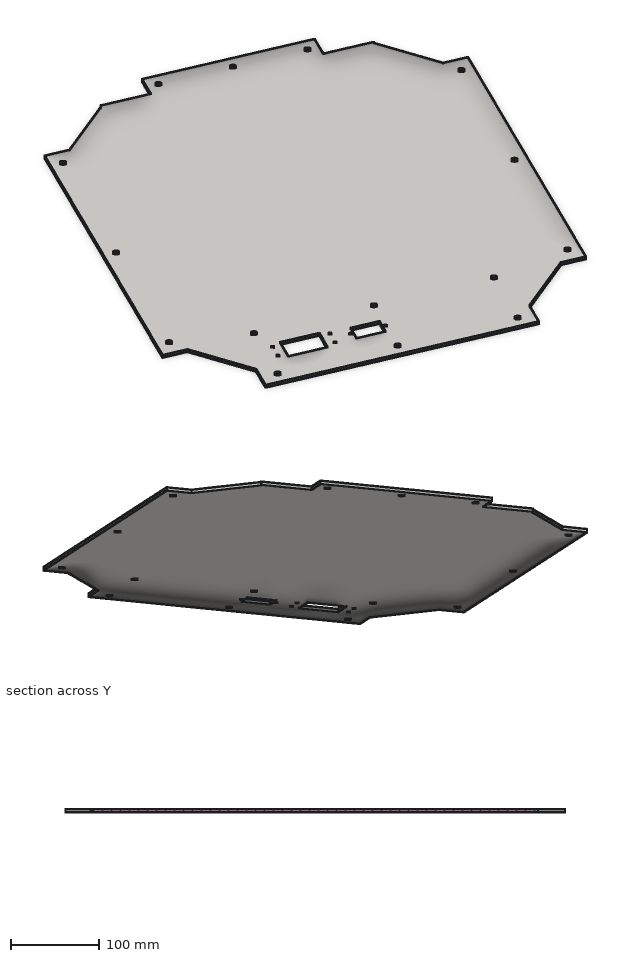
import cadquery as cq

length = 565.0
width = 510.0
thickness = 4.0

end_tab_half_length = 191.5
end_tab_depth = 30.0
corner_cut = 60.5
left_body_x = -254.0
left_tab_half_width = 104.0

mount_hole_diameter = 7.0
edge_hole_spacing_x = 172.5
edge_hole_y = 240.0
side_hole_x = 268.0
left_hole_spacing_y = 90.0
inner_hole_x = 190.5
right_hole_spacing_y = 144.5

screw_hole_diameter = 3.5
opening_x = 229.5
small_opening_y = -21.5
small_opening_size = (20.0, 35.0)
small_screw_offset_y = 21.0
large_opening_y = -99.0
large_opening_size = (27.0, 47.5)
large_screw_offset_x = 8.5
large_screw_offset_y = 34.5


def make_plate():
    tab_base_y = width / 2 - end_tab_depth
    cut_end_x = end_tab_half_length + corner_cut
    cut_end_y = tab_base_y - corner_cut
    upper_outline = [
        (-length / 2, left_tab_half_width),
        (left_body_x, left_tab_half_width),
        (left_body_x, cut_end_y),
        (-cut_end_x, cut_end_y),
        (-end_tab_half_length, tab_base_y),
        (-end_tab_half_length, width / 2),
        (end_tab_half_length, width / 2),
        (end_tab_half_length, tab_base_y),
        (cut_end_x, cut_end_y),
        (length / 2, cut_end_y),
    ]
    lower_outline = [(x, -y) for x, y in reversed(upper_outline)]
    return cq.Workplane("XY").polyline(upper_outline + lower_outline).close().extrude(thickness)


def hole_cutter(points, diameter):
    return cq.Workplane("XY").pushPoints(points).circle(diameter / 2).extrude(thickness)


def opening_cutter(center_y, size):
    return cq.Workplane("XY").center(opening_x, center_y).rect(*size).extrude(thickness)


mount_points = []
for step in (-1, 0, 1):
    for side in (-1, 1):
        mount_points.append((step * edge_hole_spacing_x, side * edge_hole_y))
    mount_points.append((-side_hole_x, step * left_hole_spacing_y))
    for column_x in (inner_hole_x, side_hole_x):
        mount_points.append((column_x, step * right_hole_spacing_y))

screw_points = []
for side_y in (-1, 1):
    screw_points.append((opening_x, small_opening_y + side_y * small_screw_offset_y))
    for side_x in (-1, 1):
        screw_x = opening_x + side_x * large_screw_offset_x
        screw_points.append((screw_x, large_opening_y + side_y * large_screw_offset_y))

result = (
    make_plate()
    .cut(hole_cutter(mount_points, mount_hole_diameter))
    .cut(hole_cutter(screw_points, screw_hole_diameter))
    .cut(opening_cutter(small_opening_y, small_opening_size))
    .cut(opening_cutter(large_opening_y, large_opening_size))
)